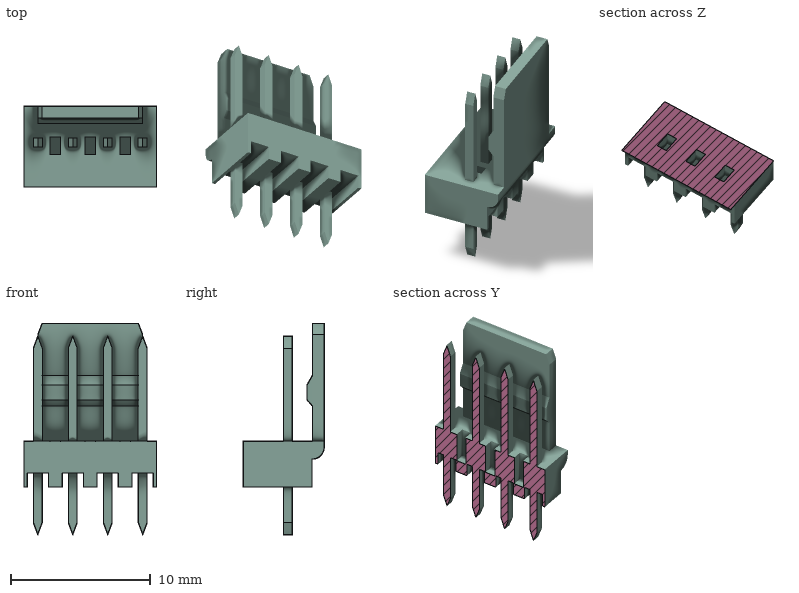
import cadquery as cq


PIN_COUNT = 4
PITCH = 2.5
PIN_SIZE = 0.64
PIN_BOTTOM = -3.4
PIN_TOP = 10.8
PIN_TAPER = 0.87

END_MARGIN = 1.0
HOUSING_WIDTH = (PIN_COUNT - 1) * PITCH + 2 * END_MARGIN
HOUSING_HEIGHT = 3.3
BACK_Y = 2.6
FRONT_Y = -3.2

OVERHANG = 0.87
OVERHANG_HEIGHT = 1.3
BLOCK_BACK_Y = BACK_Y - OVERHANG

SLOT_WIDTH = 1.5
SLOT_HEIGHT = 1.0

POCKET_WIDTH = 0.75
POCKET_BACK_Y = 0.4
POCKET_LENGTH = 1.27
POCKET_DEPTH = HOUSING_HEIGHT - SLOT_HEIGHT

WALL_WIDTH = (PIN_COUNT - 1) * PITCH
WALL_THICKNESS = 0.85
WALL_TOP = 11.7
WALL_CORNER_WIDTH = 0.3
WALL_CORNER_HEIGHT = 0.8
RIDGE_HEIGHT = 0.4
RIDGE_BOTTOM = 5.8
RIDGE_FLAT_BOTTOM = 6.25
RIDGE_FLAT_TOP = 7.3
RIDGE_TOP = 8.0

PIN_XS = [(i - (PIN_COUNT - 1) / 2) * PITCH for i in range(PIN_COUNT)]


def side_profile_extrusion(profile, width):
    """Extrude a closed YZ profile symmetrically about X = 0."""
    return profile.close().extrude(width / 2, both=True)


def make_housing():
    """Block with a rounded overhang along its back edge."""
    overhang_bottom = HOUSING_HEIGHT - OVERHANG_HEIGHT
    profile = (
        cq.Workplane("YZ")
        .moveTo(FRONT_Y, 0)
        .lineTo(BLOCK_BACK_Y, 0)
        .lineTo(BLOCK_BACK_Y, overhang_bottom)
        .radiusArc((BACK_Y, overhang_bottom + OVERHANG), -OVERHANG)
        .lineTo(BACK_Y, HOUSING_HEIGHT)
        .lineTo(FRONT_Y, HOUSING_HEIGHT)
    )
    return side_profile_extrusion(profile, HOUSING_WIDTH)


def make_slot(x):
    """Slot running front to back under one pin."""
    length = BLOCK_BACK_Y - FRONT_Y
    slot = cq.Workplane("XY").box(SLOT_WIDTH, length, SLOT_HEIGHT, centered=(True, False, False))
    return slot.translate((x, FRONT_Y, 0))


def make_pocket(x):
    """Blind rectangular pocket centred on x in the top face."""
    front_y = POCKET_BACK_Y - POCKET_LENGTH
    floor_z = HOUSING_HEIGHT - POCKET_DEPTH
    pocket = cq.Workplane("XY").box(POCKET_WIDTH, POCKET_LENGTH, POCKET_DEPTH, centered=(True, False, False))
    return pocket.translate((x, front_y, floor_z))


def make_wall():
    """Upright locking wall with its two top corners cut off."""
    half_width = WALL_WIDTH / 2
    half_top = half_width - WALL_CORNER_WIDTH
    shoulder = WALL_TOP - WALL_CORNER_HEIGHT
    outline = [
        (-half_width, HOUSING_HEIGHT),
        (half_width, HOUSING_HEIGHT),
        (half_width, shoulder),
        (half_top, WALL_TOP),
        (-half_top, WALL_TOP),
        (-half_width, shoulder),
    ]
    return cq.Workplane("XZ", origin=(0, BACK_Y, 0)).polyline(outline).close().extrude(WALL_THICKNESS)


def make_ridge():
    """Latch ridge across the front face of the locking wall."""
    wall_front = BACK_Y - WALL_THICKNESS
    crest = wall_front - RIDGE_HEIGHT
    profile = cq.Workplane("YZ").polyline([
        (BACK_Y, RIDGE_BOTTOM),
        (wall_front, RIDGE_BOTTOM),
        (crest, RIDGE_FLAT_BOTTOM),
        (crest, RIDGE_FLAT_TOP),
        (wall_front, RIDGE_TOP),
        (BACK_Y, RIDGE_TOP),
    ])
    return side_profile_extrusion(profile, WALL_WIDTH)


def make_pin(x):
    """Square pin whose two ends taper to an edge along Y."""
    half = PIN_SIZE / 2
    outline = [
        (x, PIN_BOTTOM),
        (x + half, PIN_BOTTOM + PIN_TAPER),
        (x + half, PIN_TOP - PIN_TAPER),
        (x, PIN_TOP),
        (x - half, PIN_TOP - PIN_TAPER),
        (x - half, PIN_BOTTOM + PIN_TAPER),
    ]
    return cq.Workplane("XZ").polyline(outline).close().extrude(half, both=True)


result = make_housing().union(make_wall()).union(make_ridge())

for pin_x in PIN_XS:
    result = result.cut(make_slot(pin_x))

for pin_x in PIN_XS[:-1]:
    result = result.cut(make_pocket(pin_x + PITCH / 2))

for pin_x in PIN_XS:
    result = result.union(make_pin(pin_x))